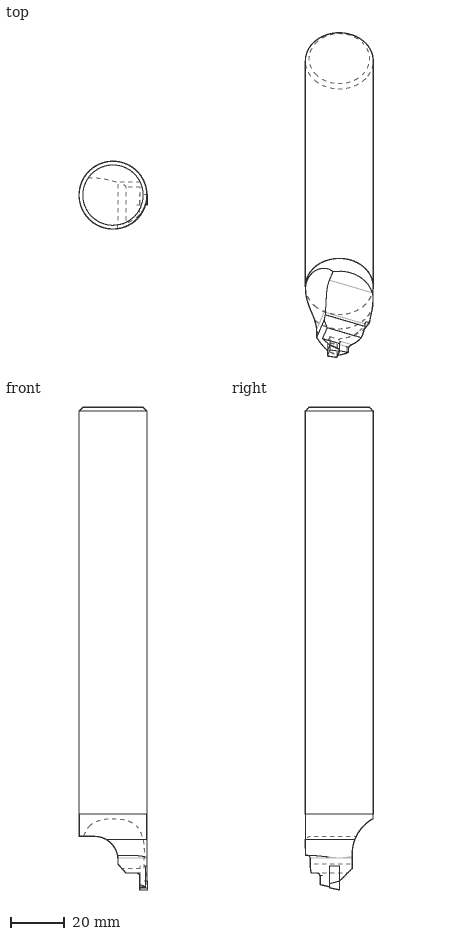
import cadquery as cq
import math

length = 180.0
shank_diameter = 25.4
neck_diameter = 25.2
shank_chamfer = 1.5
neck_top = 28.5
neck_bottom = 18.9
shank_radius = shank_diameter / 2

head_offset = 1.8
head_radius = shank_radius - head_offset
head_ledge = 13.0
ledge_fillet = 1.0

web_x = 1.8
web_relief_top = 20.0
web_relief_radius = 8.6
web_chamfer_x = 3.0
web_chamfer_z = 3.5
shoulder = 6.3
blade_x = 9.9
blade_fillet = 0.9

flat_y = 4.9
flat_relief_radius = 15.0
flat_relief_top = neck_top
nose_top = 8.1

seat_y = -3.6
blade_bevel_y = -6.3
blade_bevel_depth = 0.2
tip_slope = 0.23
blade_setback = 0.4

rake_y = 0.2
insert_top = 9.0
tip_overhang = 0.2
tip_x = shank_radius + tip_overhang
stem_inner_x = blade_x + tip_overhang
tip_rake_height = 3.5
tip_seat_height = 2.3

clear = shank_diameter


def make_shank():
    shank = cq.Workplane("XY").workplane(offset=neck_top).circle(shank_radius).extrude(length - neck_top)
    shank = shank.faces(">Z").chamfer(shank_chamfer)
    neck = (
        cq.Workplane("XY")
        .workplane(offset=neck_bottom)
        .circle(neck_diameter / 2)
        .extrude(neck_top - neck_bottom)
    )
    return shank.union(neck)


def make_head():
    """Full-size collar above a slimmer eccentric round, joined by a fillet under the ledge."""
    collar = (
        cq.Workplane("XY").workplane(offset=head_ledge).circle(shank_radius).extrude(neck_bottom - head_ledge)
    )
    fillet_reach = ledge_fillet * (1 - math.sqrt(0.5))
    round_part = (
        cq.Workplane("XZ")
        .lineTo(head_radius, 0)
        .lineTo(head_radius, head_ledge - ledge_fillet)
        .threePointArc(
            (head_radius + fillet_reach, head_ledge - fillet_reach),
            (head_radius + ledge_fillet, head_ledge),
        )
        .lineTo(0, head_ledge)
        .close()
        .revolve(360, (0, 0, 0), (0, 1, 0))
        .translate((head_offset, 0, 0))
    )
    envelope = cq.Workplane("XY").circle(shank_radius).extrude(head_ledge)
    return collar.union(round_part.intersect(envelope))


def web_relief():
    """Material removed on the -X side, leaving the web, the shoulder and the thin blade."""
    web_arc_bottom = web_relief_top - web_relief_radius
    diagonal = web_relief_radius * math.sqrt(0.5)
    arc_start_x = web_x - web_relief_radius
    fillet_reach = blade_fillet * (1 - math.sqrt(0.5))
    return (
        cq.Workplane("XZ")
        .moveTo(-clear, -clear)
        .lineTo(-clear, web_relief_top)
        .lineTo(arc_start_x, web_relief_top)
        .threePointArc((arc_start_x + diagonal, web_arc_bottom + diagonal), (web_x, web_arc_bottom))
        .lineTo(web_x, shoulder + web_chamfer_z)
        .lineTo(web_x + web_chamfer_x, shoulder)
        .lineTo(blade_x - blade_fillet, shoulder)
        .threePointArc(
            (blade_x - fillet_reach, shoulder - fillet_reach),
            (blade_x, shoulder - blade_fillet),
        )
        .lineTo(blade_x, -clear)
        .close()
        .extrude(clear, both=True)
    )


def flat_relief():
    """Material removed on the +Y side, from the run-out arc down to the sloping nose."""
    arc_center_y = flat_y + flat_relief_radius
    arc_center_z = flat_relief_top - flat_relief_radius
    diagonal = flat_relief_radius * math.sqrt(0.5)
    nose_drop = nose_top + clear
    return (
        cq.Workplane("YZ")
        .moveTo(flat_y, nose_top)
        .lineTo(flat_y, arc_center_z)
        .threePointArc(
            (arc_center_y - diagonal, arc_center_z + diagonal),
            (arc_center_y, flat_relief_top),
        )
        .lineTo(clear, flat_relief_top)
        .lineTo(clear, -clear)
        .lineTo(flat_y - nose_drop, -clear)
        .close()
        .extrude(clear, both=True)
    )


def blade_end_relief():
    """Clearance under the blade, rising away from the cutting edge."""
    return (
        cq.Workplane("YZ")
        .moveTo(clear, blade_setback - tip_slope * clear)
        .lineTo(-clear, blade_setback + tip_slope * clear)
        .lineTo(-clear, -clear)
        .lineTo(clear, -clear)
        .close()
        .extrude(clear, both=True)
    )


def blade_bevel():
    """Shallow bevel along the -Y edge of the blade."""
    blade_edge_y = -math.sqrt(head_radius**2 - (blade_x - head_offset) ** 2)
    bevel_slope = blade_bevel_depth / (blade_bevel_y - blade_edge_y)
    bevel_width = 2 * (blade_bevel_y - blade_edge_y)
    return (
        cq.Workplane("XY")
        .moveTo(blade_x, blade_bevel_y)
        .lineTo(blade_x + bevel_slope * bevel_width, blade_bevel_y - bevel_width)
        .lineTo(blade_x, blade_bevel_y - bevel_width)
        .close()
        .extrude(shoulder - blade_fillet)
    )


def block(x_range, y_range, z_range):
    """Rectangular block between the given limits."""
    sizes = [high - low for low, high in (x_range, y_range, z_range)]
    return cq.Workplane("XY").box(*sizes, centered=False).translate((x_range[0], y_range[0], z_range[0]))


def insert_pocket():
    """Pocket for the insert, open to +X and downwards, with no blade fillet beside it."""
    pocket = block((stem_inner_x, clear), (seat_y, rake_y), (-clear, insert_top))
    fillet_clearance = block((web_x, stem_inner_x), (seat_y, flat_y), (-clear, shoulder))
    return pocket.union(fillet_clearance)


def make_holder():
    holder = make_shank().union(make_head())
    holder = holder.cut(web_relief()).cut(flat_relief())
    holder = holder.cut(insert_pocket())
    return holder.cut(blade_bevel()).cut(blade_end_relief())


def make_insert():
    """Upright stem in the pocket and a slightly wider cutting tip below it."""
    seat_foot = -tip_slope * seat_y
    stem = (
        cq.Workplane("YZ")
        .workplane(offset=stem_inner_x)
        .polyline([(rake_y, 0), (rake_y, insert_top), (seat_y, insert_top), (seat_y, seat_foot)])
        .close()
        .extrude(shank_radius - stem_inner_x)
    )
    tip = (
        cq.Workplane("YZ")
        .workplane(offset=blade_x)
        .polyline([(rake_y, 0), (rake_y, tip_rake_height), (seat_y, tip_seat_height), (seat_y, seat_foot)])
        .close()
        .extrude(tip_x - blade_x)
    )
    return stem.union(tip)


holder = make_holder()
insert = make_insert()
result = cq.Compound.makeCompound([holder.val(), insert.val()])